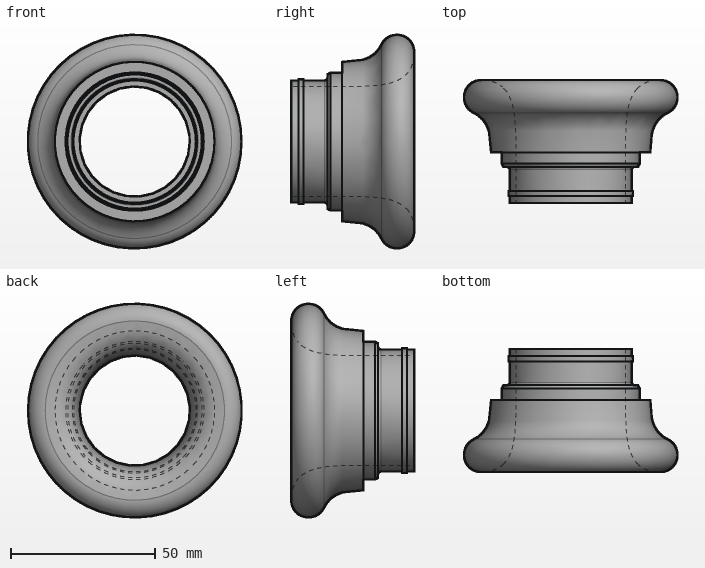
import cadquery as cq
import math

total_length = 42.6
outer_radius = 37.0

bore_radius = 19.0
pipe_radius = 21.15
bead_radius = 21.6
bead_start = 2.5
bead_end = 4.3

shoulder_y = 12.5
shoulder_radius = 23.9
chamfer_radial = 0.7
chamfer_axial = 1.2
root_fillet = 0.9

bell_front_y = 17.6
bell_front_radius = 27.6
bell_front_taper = 5.0
neck_y = 24.85
neck_radius = 28.35

lip_radius = 6.0
lip_center_radius = outer_radius - lip_radius
lip_center_y = total_length - lip_radius
lip_blend_angle = math.radians(65)

flare_start_y = 15.75


def lip_point(angle):
    """Point (radius, Y) on the lip, measured from its widest point toward the mouth."""
    return (
        lip_center_radius + lip_radius * math.cos(angle),
        lip_center_y + lip_radius * math.sin(angle),
    )


def bell_body():
    """Solid of revolution with the pipe, shoulder, outer bell, lip and inner flare."""
    taper = math.radians(bell_front_taper)
    front_tangent = (math.sin(taper), math.cos(taper))
    blend_tangent = (math.sin(lip_blend_angle), math.cos(lip_blend_angle))
    fillet_mid = root_fillet * (1 - math.sqrt(0.5))

    profile = (
        cq.Workplane("XY")
        .moveTo(bore_radius, 0)
        .lineTo(pipe_radius, 0)
        .lineTo(pipe_radius, shoulder_y - root_fillet)
        .threePointArc(
            (pipe_radius + fillet_mid, shoulder_y - fillet_mid),
            (pipe_radius + root_fillet, shoulder_y),
        )
        .lineTo(shoulder_radius - chamfer_radial, shoulder_y)
        .lineTo(shoulder_radius, shoulder_y + chamfer_axial)
        .lineTo(shoulder_radius, bell_front_y)
        .lineTo(bell_front_radius, bell_front_y)
        .spline(
            [(neck_radius, neck_y), lip_point(-lip_blend_angle)],
            tangents=[front_tangent, blend_tangent],
            includeCurrent=True,
        )
        .threePointArc(lip_point(0), lip_point(math.pi / 2))
        .spline([(bore_radius, flare_start_y)], tangents=[(-1, 0), (0, -1)], includeCurrent=True)
        .close()
    )
    return profile.revolve(360, (0, 0, 0), (0, 1, 0))


def bead():
    """Raised ring around the pipe."""
    section = (
        cq.Workplane("XY")
        .moveTo(bore_radius, bead_start)
        .lineTo(bead_radius, bead_start)
        .lineTo(bead_radius, bead_end)
        .lineTo(bore_radius, bead_end)
        .close()
    )
    return section.revolve(360, (0, 0, 0), (0, 1, 0))


result = bell_body().union(bead())